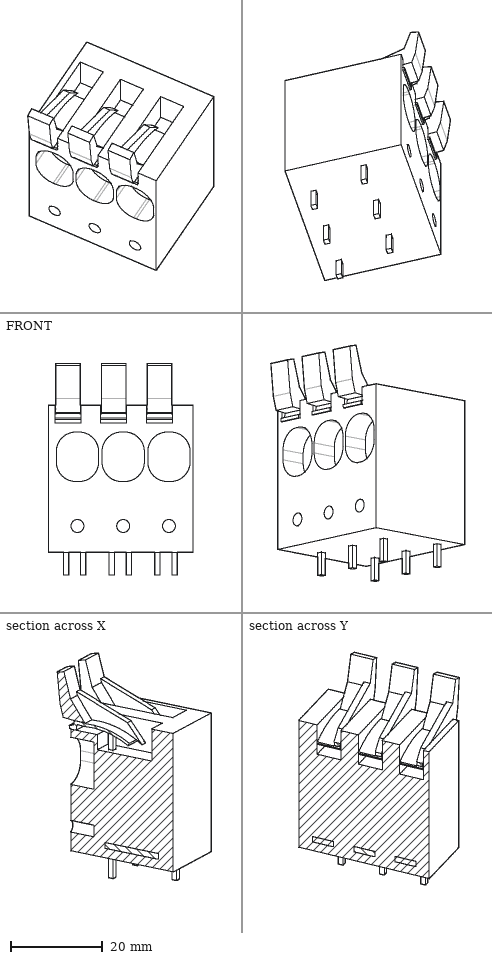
import cadquery as cq
import math


housing_width = 31.6
housing_depth = 26.4
housing_height = 32.15
pole_count = 3
pole_pitch = 10.0

slot_center_x = 4.25
slot_width = 5.7
slot_back_y = 20.85
sill_z = housing_height - 3.9
well_floor_z = housing_height - 7.4

entry_center_x = 6.35
entry_width = 9.25
entry_height = 10.8
entry_corner_radius = 4.3
entry_center_z = 20.85
entry_depth = 6
test_hole_diameter = 2.8
test_hole_z = 5.75
test_hole_depth = entry_depth
well_front_y = entry_depth + 0.92

blade_thickness = 0.8
blade_radius = 19.98
blade_crest_y = 5.4
blade_crest_z = housing_height - 1.85
blade_axis_z = blade_crest_z - blade_radius
blade_back_y = 15.15
blade_curve_front_y = 3.75
blade_bend = (0.92, 30.3)
foot_back_y = 0.7
foot_back_z = 29.3
foot_tip_y = -0.35
foot_tip_z = 29.0
foot_undercut = 0.05
pin_size = 1.2
pin_length = 5.0
front_pin_x = 3.25
front_pin_y = 8.9
rear_pin_x = 7.0
rear_pin_y = 21.3
plate_z = 2.3

lever_width = 5.4
arm_width = 1.53
strut_back_y = blade_curve_front_y
strut_top_y = 0.05
arm_tip_y = 16.65
arm_knee = (12.9, 31.25)
arm_root = (-0.2, 36.0)
handle_top_back = (-1.65, housing_height + 9.1)
handle_top_front = (-3.5, housing_height + 8.65)
handle_front_bend = (-2.77, 33.52)
handle_bottom_front = (-1.95, 30.5)


def arc_point(y, radius):
    """Point (y, z) on the top of a circle about the blade's bend axis."""
    return (y, blade_axis_z + math.sqrt(radius**2 - (y - blade_crest_y) ** 2))


def box(x, y, z, width, depth, height):
    """Box placed by its lowest corner."""
    return cq.Workplane("XY").box(width, depth, height, centered=False).translate((x, y, z))


def strut_top():
    """Top of the strut, where the straight back of the handle ends below the arm."""
    root_y, root_z = arm_root
    top_y, top_z = handle_top_back
    back_slope = (top_z - root_z) / (top_y - root_y)
    return (strut_top_y, root_z + back_slope * (strut_top_y - root_y))


def make_handle(left_x):
    """Full-width handle with a strut sloping down behind it to the blade."""
    return (
        cq.Workplane("YZ", origin=(left_x, 0, 0))
        .moveTo(*strut_top())
        .lineTo(*handle_top_back)
        .lineTo(*handle_top_front)
        .lineTo(*handle_front_bend)
        .lineTo(*handle_bottom_front)
        .lineTo(*blade_bend)
        .lineTo(*arc_point(strut_back_y, blade_radius))
        .close()
        .extrude(lever_width)
    )


def make_arm(left_x):
    """Thin arm that lies along the blade and tapers to its tip."""
    return (
        cq.Workplane("YZ", origin=(left_x, 0, 0))
        .moveTo(*arm_knee)
        .lineTo(*arm_root)
        .lineTo(*strut_top())
        .lineTo(*arc_point(strut_back_y, blade_radius))
        .threePointArc(arc_point(blade_crest_y, blade_radius), arc_point(arm_tip_y, blade_radius))
        .close()
        .extrude(arm_width)
    )


def make_lever(pole_x):
    left_x = pole_x + slot_center_x - lever_width / 2
    return make_handle(left_x).union(make_arm(left_x))


def make_blade(pole_x):
    inner_radius = blade_radius - blade_thickness
    bend_y, bend_z = blade_bend
    inner_back_y = blade_crest_y + (blade_back_y - blade_crest_y) * inner_radius / blade_radius
    return (
        cq.Workplane("YZ", origin=(pole_x + slot_center_x - slot_width / 2, 0, 0))
        .moveTo(*arc_point(blade_back_y, blade_radius))
        .threePointArc(arc_point(blade_crest_y, blade_radius), arc_point(blade_curve_front_y, blade_radius))
        .lineTo(bend_y, bend_z)
        .lineTo(foot_back_y, foot_back_z)
        .lineTo(foot_tip_y, foot_tip_z)
        .lineTo(foot_tip_y + foot_undercut, sill_z)
        .lineTo(foot_back_y + blade_thickness, sill_z)
        .lineTo(bend_y + blade_thickness, bend_z - blade_thickness)
        .lineTo(*arc_point(blade_curve_front_y, inner_radius))
        .threePointArc(arc_point(blade_crest_y, inner_radius), arc_point(inner_back_y, inner_radius))
        .close()
        .extrude(slot_width)
    )


def make_contact(pole_x):
    post_top_z = arc_point(front_pin_y + pin_size / 2, blade_radius - blade_thickness / 2)[1]
    post = box(
        pole_x + front_pin_x, front_pin_y, -pin_length,
        pin_size, pin_size, pin_length + post_top_z,
    )
    rear_pin = box(
        pole_x + rear_pin_x, rear_pin_y, -pin_length,
        pin_size, pin_size, pin_length + plate_z,
    )
    plate = box(
        pole_x + front_pin_x, front_pin_y, plate_z,
        rear_pin_x - front_pin_x + pin_size, rear_pin_y - front_pin_y + pin_size, pin_size,
    )
    return make_blade(pole_x).union(post).union(plate).union(rear_pin)


def slot_cut(pole_x):
    left_x = pole_x + slot_center_x - slot_width / 2
    slot = box(left_x, 0, sill_z, slot_width, slot_back_y, housing_height - sill_z)
    well = box(
        left_x, well_front_y, well_floor_z,
        slot_width, slot_back_y - well_front_y, housing_height - well_floor_z,
    )
    return slot.union(well)


def front_holes(pole_x):
    center_x = pole_x + entry_center_x
    wire_entry = (
        cq.Workplane("XZ", origin=(center_x, 0, entry_center_z))
        .rect(entry_width, entry_height)
        .extrude(-entry_depth)
        .edges("|Y")
        .fillet(entry_corner_radius)
    )
    test_hole = (
        cq.Workplane("XZ", origin=(center_x, 0, test_hole_z))
        .circle(test_hole_diameter / 2)
        .extrude(-test_hole_depth)
    )
    return wire_entry.union(test_hole)


def make_housing(contacts):
    housing = box(0, 0, 0, housing_width, housing_depth, housing_height)
    for pole_x in pole_positions:
        housing = housing.cut(slot_cut(pole_x)).cut(front_holes(pole_x))
    for contact in contacts:
        housing = housing.cut(contact)
    return housing


pole_positions = [pole * pole_pitch for pole in range(pole_count)]
levers = [make_lever(pole_x) for pole_x in pole_positions]
contacts = [make_contact(pole_x) for pole_x in pole_positions]
housing = make_housing(contacts)

result = cq.Compound.makeCompound(
    [part.solids().val() for part in [housing, *levers, *contacts]]
)